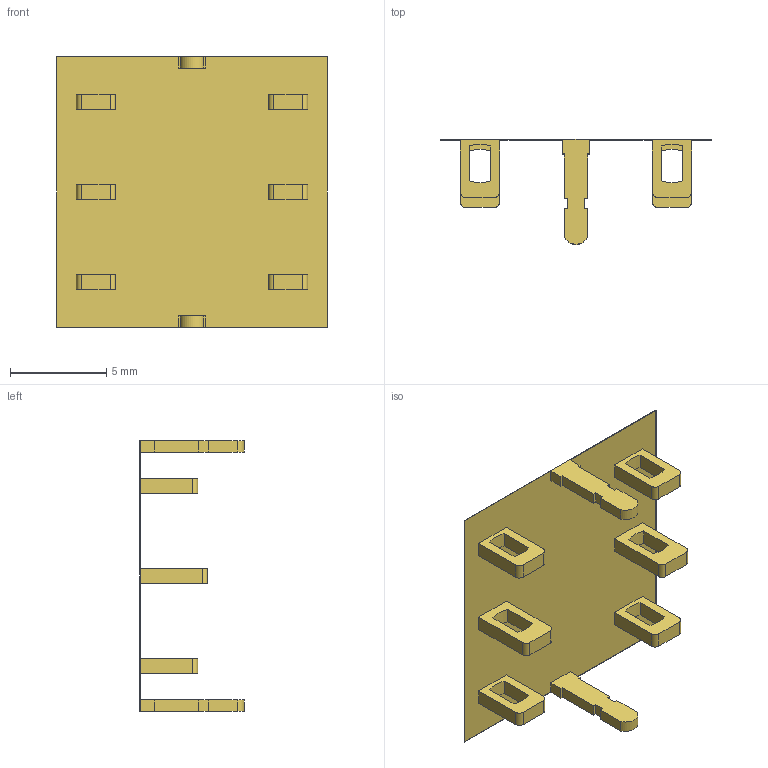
import cadquery as cq

PLATE_SIZE = 14.1
PLATE_THICKNESS = 0.025

LUG_COLUMN_PITCH = 10.0
LUG_ROW_PITCH = 4.7
LUG_WIDTH = 2.04
LUG_THICKNESS = 0.79
LUG_CORNER_RADIUS = 0.27
SHORT_LUG_REACH = 3.02
LONG_LUG_REACH = 3.53

WINDOW_WIDTH = 1.1
WINDOW_LENGTH = 2.0
WINDOW_END_BOW = 0.09
SHORT_LUG_WINDOW_START = 0.25
LONG_LUG_WINDOW_START = 0.51

TAIL_REACH = 5.455
TAIL_THICKNESS = 0.6
TAIL_WIDTH = 1.2
TAIL_SHOULDER_WIDTH = 1.42
TAIL_SHOULDER_REACH = 0.76
TAIL_NECK_WIDTH = 0.86
TAIL_NECK_START = 3.06
TAIL_NECK_LENGTH = 0.52
TAIL_TIP_BOW = 0.38


def slab_plane(z_middle, thickness):
    """XY workplane at the lower face of a slab centred on z_middle."""
    return cq.Workplane("XY").workplane(offset=z_middle - thickness / 2)


def make_plate():
    """Thin square sheet with its back face on Y = 0."""
    sheet = cq.Workplane("XY").box(PLATE_SIZE, PLATE_THICKNESS, PLATE_SIZE)
    return sheet.translate((0, -PLATE_THICKNESS / 2, 0))


def make_lug(x, z, reach, window_start):
    """Flat lug with two rounded tip corners and a window with bowed ends."""
    plane = slab_plane(z, LUG_THICKNESS)
    body = (
        plane.center(x, -reach / 2)
        .rect(LUG_WIDTH, reach)
        .extrude(LUG_THICKNESS)
        .edges("|Z and <Y")
        .fillet(LUG_CORNER_RADIUS)
    )
    left = x - WINDOW_WIDTH / 2
    right = x + WINDOW_WIDTH / 2
    crown_near = -window_start
    crown_far = crown_near - WINDOW_LENGTH
    side_near = crown_near - WINDOW_END_BOW
    side_far = crown_far + WINDOW_END_BOW
    window = (
        plane.moveTo(left, side_far)
        .threePointArc((x, crown_far), (right, side_far))
        .lineTo(right, side_near)
        .threePointArc((x, crown_near), (left, side_near))
        .close()
        .extrude(LUG_THICKNESS)
    )
    return body.cut(window)


def make_tail(z):
    """Flat tail with a wide shoulder, a narrow neck and a rounded tip."""
    shoulder = TAIL_SHOULDER_WIDTH / 2
    side = TAIL_WIDTH / 2
    neck = TAIL_NECK_WIDTH / 2
    neck_end = TAIL_NECK_START + TAIL_NECK_LENGTH
    tip_start = TAIL_REACH - TAIL_TIP_BOW
    right_side = [
        (shoulder, 0),
        (shoulder, -TAIL_SHOULDER_REACH),
        (side, -TAIL_SHOULDER_REACH),
        (side, -TAIL_NECK_START),
        (neck, -TAIL_NECK_START),
        (neck, -neck_end),
        (side, -neck_end),
        (side, -tip_start),
    ]
    left_side = [(-x, y) for x, y in reversed(right_side)]
    return (
        slab_plane(z, TAIL_THICKNESS)
        .polyline(right_side)
        .threePointArc((0, -TAIL_REACH), left_side[0])
        .polyline(left_side, includeCurrent=False)
        .close()
        .extrude(TAIL_THICKNESS)
    )


result = make_plate()

for column in (-1, 1):
    lug_x = column * LUG_COLUMN_PITCH / 2
    result = result.union(make_lug(lug_x, 0, LONG_LUG_REACH, LONG_LUG_WINDOW_START))
    for row in (-1, 1):
        lug_z = row * LUG_ROW_PITCH
        result = result.union(make_lug(lug_x, lug_z, SHORT_LUG_REACH, SHORT_LUG_WINDOW_START))

for edge in (-1, 1):
    tail_z = edge * (PLATE_SIZE - TAIL_THICKNESS) / 2
    result = result.union(make_tail(tail_z))